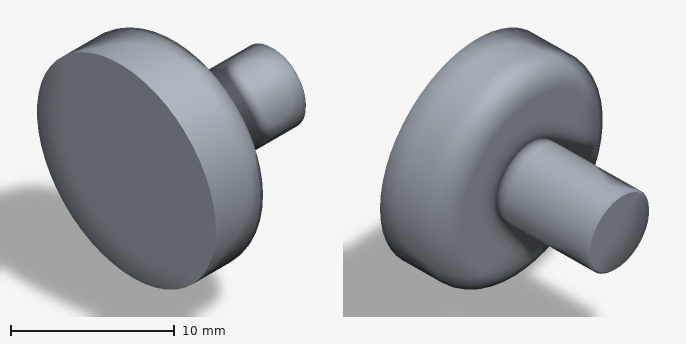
import cadquery as cq

housing_diameter = 16.0
total_length = 12.43
stem_length = 7.5
housing_height = total_length - stem_length
shoulder_radius = 1.76

stem_diameter = 5.7
stem_chamfer = 0.13

recess_diameter = 13.58
magnet_diameter = 11.4
recess_depth = housing_height / 2


def cylinder(diameter, start, length):
    """Cylinder along +Y, starting at the given Y."""
    plane = cq.Workplane("XZ", origin=(0, start, 0))
    return plane.circle(diameter / 2).extrude(-length)


def make_housing():
    """Cup with a rounded shoulder on the stem side and a recess in the open face."""
    body = cylinder(housing_diameter, 0, housing_height)
    body = body.faces(">Y").edges().fillet(shoulder_radius)
    return body.cut(cylinder(recess_diameter, 0, recess_depth))


def make_spacer_ring():
    """Ring filling the gap between the housing and the magnet."""
    ring = cylinder(recess_diameter, 0, recess_depth)
    return ring.cut(cylinder(magnet_diameter, 0, recess_depth))


def make_magnet():
    """Disc flush with the open face of the housing."""
    return cylinder(magnet_diameter, 0, recess_depth)


def make_stem():
    """Round stem standing on the back of the housing, chamfered at its free end."""
    stem = cylinder(stem_diameter, housing_height, stem_length)
    return stem.faces(">Y").edges().chamfer(stem_chamfer)


housing = make_housing()
spacer_ring = make_spacer_ring()
magnet = make_magnet()
stem = make_stem()

result = cq.Compound.makeCompound(
    [housing.val(), spacer_ring.val(), magnet.val(), stem.val()]
)